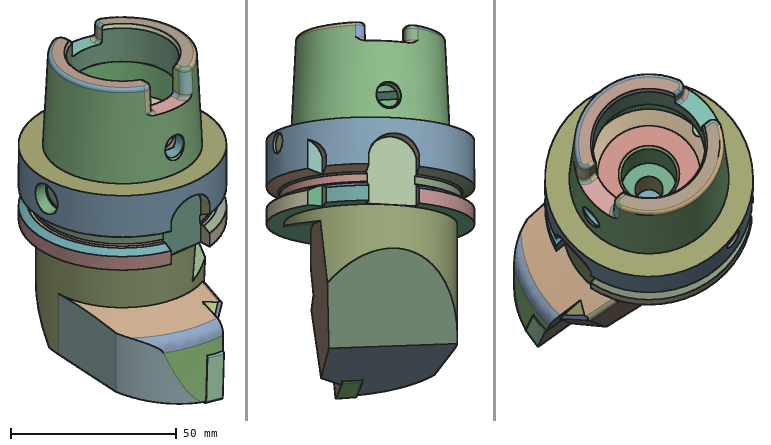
import cadquery as cq
import math


SHANK_HEIGHT = 32.0
TAPER_RADIUS = 24.2
TAPER_SLOPE = 0.05
RIM_ROUNDING = 1.2
BORE_DIAMETER = 34.1
MOUTH_CHAMFER_WIDTH = 0.6
MOUTH_CHAMFER_HEIGHT = 1.2
LIP_Z = 19.2
LIP_ANGLE = 60
CLAMP_DIAMETER = 40.1
CLAMP_FLOOR_Z = 6.2
FLOOR_RADIUS = 15.6
FLOOR_Z = 3.7

COOLANT_DIAMETER = 16.8
COOLANT_CHAMFER = 0.8
COOLANT_FLOOR_Z = -10.2
FEED_DIAMETER = 8.4
FEED_FLOOR_Z = -22.4

CROSS_DIAMETER = 7.5
CROSS_CHAMFER = 0.4
CROSS_Z = 9.1

NOTCH_WIDTH = 12.4
NOTCH_LEFT_Z = 25.9
NOTCH_RIGHT_Z = 21.9
NOTCH_CORNER_RADIUS = 2.4
NOTCH_FLOOR_RADIUS = 1.3

FLANGE_RADIUS = 63.0 / 2
FLANGE_THICKNESS = 25.9
GROOVE_RADIUS = 27.5
GROOVE_PROFILE = [
    (FLANGE_RADIUS, -14.5),
    (28.0, -16.1),
    (GROOVE_RADIUS, -16.6),
    (GROOVE_RADIUS, -19.1),
    (27.9, -19.6),
    (29.0, -19.7),
    (FLANGE_RADIUS, -21.2),
]
KEY_FLAT_X = 26.5
KEY_WIDTH = 15.7
KEY_TOP_Z = -4.8
KEY_ARCH_RADIUS = 8.1
INDEX_FLAT_X = 20.0
INDEX_WALL_Y = 19.8
CHIP_HOLE_DIAMETER = 10.0
CHIP_HOLE_Z = -6.9
CHIP_HOLE_DEPTH = 4.9
CHIP_HOLE_ANGLE = -90
CHIP_HOLE_CHAMFER = 0.3
SIDE_HOLE_DIAMETER = 6.3
SIDE_HOLE_Z = -4.0
SIDE_HOLE_DEPTH = 1
SIDE_HOLE_ANGLE = 103

NECK_RADIUS = 52.6 / 2
HEAD_TOP_Z = -41.9
SHOULDER_ANGLE = 15
SHOULDER_ROUNDING = 4.9
WALL_RADIUS = 41.7
WALL_SLOPE = 0.108
HEAD_LOW_Z = -73.4
FACE_END_X = 25.9
SIDE_ARC_MIDDLE = (38.4, -18.4)
SIDE_ARC_END = (44.7, -2)

HEEL_POINT = (-4.7, 0, -65.1)
BOTTOM_NORMAL = (-0.085, -0.092, -1)
HEEL_NORMAL = (-1.187, -0.092, -1)
BACK_POINT = (-17.3, 19.8, -29.9)
BACK_NORMAL = (0.153, 1, -0.103)
BACK_TOP_DIRECTION = (1, -0.133, 0.19)
BACK_EDGE_POINT = (29.6, 11.2, -43.1)
BACK_EDGE_ROUNDING = 1.6
RAKE_NORMAL = (0.09, 1, -0.112)

RAMP_START = (31.3, 4.6, -43.2)
RAMP_TOP = (33.6, 8.5, -44.2)
RAMP_FOOT = (37.0, 3.5, -47.9)
WALL_TOP = (33.4, 10.5, -44.9)
WALL_FOOT = (38.1, 3.3, -49.9)
WALL_LOW = (25.5, 9.2, -68.4)

INSERT_TIP = (45.1, 0, -70.2)
INSERT_EDGE = 15.7
INSERT_ANGLE = 78
INSERT_THICKNESS = 6.3
INSERT_CORNER_RADIUS = 0.8
INSERT_EDGE_DIRECTION = (-1, 0.102, 0.108)

REACH = 102


def revolved(profile):
    """Turn a closed (radius, Z) outline around the Z axis, starting in the YZ plane."""
    return cq.Workplane("YZ").polyline(profile).close().revolve(360, (0, 0), (0, 1))


def half_space(point, normal):
    """A large block on the outward side of a plane."""
    return cq.Workplane(cq.Plane(point, normal=normal)).rect(2 * REACH, 2 * REACH).extrude(REACH)


def half_space_through(a, b, c):
    """A large block on the +X side of the plane through three points."""
    normal = (cq.Vector(*b) - cq.Vector(*a)).cross(cq.Vector(*c) - cq.Vector(*a))
    if normal.x < 0:
        normal = normal * -1
    return half_space(a, normal.toTuple())


def make_shank():
    """Taper with the drive notches and rounded rim, bored down to the clamping lip."""
    top_radius = TAPER_RADIUS - TAPER_SLOPE * SHANK_HEIGHT
    shank = revolved([(0, 0), (TAPER_RADIUS, 0), (top_radius, SHANK_HEIGHT), (0, SHANK_HEIGHT)])
    bore_radius = BORE_DIAMETER / 2
    mouth = cq.Workplane("XY", origin=(0, 0, LIP_Z)).circle(bore_radius).extrude(SHANK_HEIGHT)
    shank = shank.cut(mouth)

    half_width = NOTCH_WIDTH / 2
    middle_radius = (bore_radius + top_radius) / 2
    for side, floor_z in ((-1, NOTCH_LEFT_Z), (1, NOTCH_RIGHT_Z)):
        notch = (
            cq.Workplane("XY", origin=(side * REACH / 2, 0, floor_z))
            .box(REACH, NOTCH_WIDTH, REACH, centered=(True, True, False))
        )
        shank = shank.cut(notch)
        corner_x = side * math.sqrt(top_radius**2 - half_width**2)
        middle_z = (floor_z + SHANK_HEIGHT) / 2
        for y in (-half_width, half_width):
            corner = cq.selectors.NearestToPointSelector((corner_x, y, middle_z))
            shank = shank.edges(corner).fillet(NOTCH_CORNER_RADIUS)
            floor_edge = cq.selectors.NearestToPointSelector((side * middle_radius, y, floor_z))
            shank = shank.edges(floor_edge).fillet(NOTCH_FLOOR_RADIUS)

    mouth_arcs = cq.selectors.RadiusNthSelector(0)
    outer_rim = cq.selectors.InverseSelector(mouth_arcs)
    return shank.faces(">Z").edges(outer_rim).fillet(RIM_ROUNDING)


def make_bore():
    """Clamping bore of the shank with the coolant bore below it."""
    bore_radius = BORE_DIAMETER / 2
    clamp_radius = CLAMP_DIAMETER / 2
    coolant_radius = COOLANT_DIAMETER / 2
    feed_radius = FEED_DIAMETER / 2
    flare_height = (clamp_radius - bore_radius) / math.tan(math.radians(LIP_ANGLE))
    return revolved([
        (0, FEED_FLOOR_Z),
        (feed_radius, FEED_FLOOR_Z),
        (feed_radius, COOLANT_FLOOR_Z),
        (coolant_radius, COOLANT_FLOOR_Z),
        (coolant_radius, FLOOR_Z - COOLANT_CHAMFER),
        (coolant_radius + COOLANT_CHAMFER, FLOOR_Z),
        (FLOOR_RADIUS, FLOOR_Z),
        (clamp_radius, CLAMP_FLOOR_Z),
        (clamp_radius, LIP_Z - flare_height),
        (bore_radius, LIP_Z),
        (bore_radius, SHANK_HEIGHT - MOUTH_CHAMFER_HEIGHT),
        (bore_radius + MOUTH_CHAMFER_WIDTH, SHANK_HEIGHT),
        (0, SHANK_HEIGHT),
    ])


def make_cross_hole():
    """Through hole across the shank, countersunk at both ends."""
    radius = CROSS_DIAMETER / 2
    surface_x = TAPER_RADIUS - TAPER_SLOPE * CROSS_Z
    start_x = surface_x - CROSS_CHAMFER
    flare = 2 * CROSS_CHAMFER
    return (
        cq.Workplane("XY", origin=(0, 0, CROSS_Z))
        .polyline([
            (-start_x - flare, 0),
            (-start_x - flare, radius + flare),
            (-start_x, radius),
            (start_x, radius),
            (start_x + flare, radius + flare),
            (start_x + flare, 0),
        ])
        .close()
        .revolve(360, (0, 0), (1, 0))
    )


def arched_slot(side, floor_x, centre_y):
    """Keyway cutter with an arched upper end, open outward and downward."""
    half_width = KEY_WIDTH / 2
    spring_z = KEY_TOP_Z - KEY_ARCH_RADIUS + math.sqrt(KEY_ARCH_RADIUS**2 - half_width**2)
    return (
        cq.Workplane("YZ", origin=(side * floor_x, centre_y, 0))
        .moveTo(-half_width, -FLANGE_THICKNESS)
        .lineTo(-half_width, spring_z)
        .threePointArc((0, KEY_TOP_Z), (half_width, spring_z))
        .lineTo(half_width, -FLANGE_THICKNESS)
        .close()
        .extrude(side * FLANGE_RADIUS)
    )


def radial_hole(diameter, depth, z, angle):
    """Blind hole drilled into the flange toward the axis."""
    outward = cq.Vector(math.cos(math.radians(angle)), math.sin(math.radians(angle)), 0)
    start = outward * (FLANGE_RADIUS - depth) + cq.Vector(0, 0, z)
    return cq.Workplane(cq.Solid.makeCylinder(diameter / 2, 2 * depth, start, outward))


def make_flange():
    """Grooved flange with two keyways, an indexing notch and two blind holes."""
    flange = revolved([
        (0, 0),
        (FLANGE_RADIUS, 0),
        *GROOVE_PROFILE,
        (FLANGE_RADIUS, -FLANGE_THICKNESS),
        (0, -FLANGE_THICKNESS),
    ])
    for side in (-1, 1):
        flange = flange.cut(arched_slot(side, KEY_FLAT_X, 0))
    flange = flange.cut(arched_slot(-1, INDEX_FLAT_X, INDEX_WALL_Y + KEY_WIDTH / 2))
    chip_hole = radial_hole(CHIP_HOLE_DIAMETER, CHIP_HOLE_DEPTH, CHIP_HOLE_Z, CHIP_HOLE_ANGLE)
    flange = flange.cut(chip_hole.faces(">Y").chamfer(CHIP_HOLE_CHAMFER))
    return flange.cut(radial_hole(SIDE_HOLE_DIAMETER, SIDE_HOLE_DEPTH, SIDE_HOLE_Z, SIDE_HOLE_ANGLE))


def make_shoulder():
    """Turned blank of the head: conical shoulder, rounded rim and flaring wall."""
    fall = math.tan(math.radians(SHOULDER_ANGLE))
    rim_drop = (WALL_RADIUS - NECK_RADIUS) * fall / (1 - WALL_SLOPE * fall)
    rim_radius = WALL_RADIUS + WALL_SLOPE * rim_drop
    low_radius = WALL_RADIUS + WALL_SLOPE * (HEAD_TOP_Z - HEAD_LOW_Z)
    blank = revolved([
        (0, HEAD_TOP_Z),
        (NECK_RADIUS, HEAD_TOP_Z),
        (rim_radius, HEAD_TOP_Z - rim_drop),
        (low_radius, HEAD_LOW_Z),
        (0, HEAD_LOW_Z),
    ])
    rim = cq.selectors.RadiusNthSelector(1)
    return blank.edges(rim).fillet(SHOULDER_ROUNDING)


def gullet_cutters():
    """Chip space in front of the rake plane, past the three faces of the gullet wall."""
    ramp = half_space_through(RAMP_START, RAMP_TOP, RAMP_FOOT)
    relief = half_space_through(RAMP_TOP, RAMP_FOOT, WALL_TOP)
    wall = half_space_through(WALL_TOP, WALL_FOOT, WALL_LOW)
    rake_side = half_space(INSERT_TIP, RAKE_NORMAL)
    return [rake_side.intersect(face) for face in (ramp, relief, wall)]


def make_head():
    """Neck and sideways cutting head, trimmed by the back, bottom and heel planes."""
    footprint = (
        cq.Workplane("XY", origin=(0, 0, HEAD_LOW_Z))
        .moveTo(0, -NECK_RADIUS)
        .lineTo(FACE_END_X, -NECK_RADIUS)
        .threePointArc(SIDE_ARC_MIDDLE, SIDE_ARC_END)
        .lineTo(SIDE_ARC_END[0], NECK_RADIUS)
        .lineTo(0, NECK_RADIUS)
        .close()
        .extrude(-HEAD_LOW_Z)
    )
    neck = (
        cq.Workplane("XY", origin=(0, 0, HEAD_LOW_Z))
        .circle(NECK_RADIUS)
        .extrude(-FLANGE_THICKNESS - HEAD_LOW_Z)
    )
    head = neck.union(make_shoulder().intersect(footprint))
    back_plane = cq.Plane(BACK_POINT, xDir=BACK_TOP_DIRECTION, normal=BACK_NORMAL)
    back_cut = cq.Workplane(back_plane).box(2 * REACH, REACH, REACH, centered=(True, False, False))
    head = head.cut(back_cut)
    head = head.cut(half_space(HEEL_POINT, BOTTOM_NORMAL))
    head = head.cut(half_space(HEEL_POINT, HEEL_NORMAL))
    for cutter in gullet_cutters():
        head = head.cut(cutter)
    back_edge = cq.selectors.NearestToPointSelector(BACK_EDGE_POINT)
    return head.edges(back_edge).fillet(BACK_EDGE_ROUNDING)


def make_insert():
    """Rhombic insert whose top face lies in the rake plane."""
    lean = math.radians(INSERT_ANGLE)
    run = INSERT_EDGE * math.cos(lean)
    rise = INSERT_EDGE * math.sin(lean)
    rake_plane = cq.Plane(INSERT_TIP, xDir=INSERT_EDGE_DIRECTION, normal=RAKE_NORMAL)
    return (
        cq.Workplane(rake_plane)
        .polyline([(0, 0), (INSERT_EDGE, 0), (INSERT_EDGE + run, rise), (run, rise)])
        .close()
        .extrude(-INSERT_THICKNESS)
        .edges(cq.selectors.ParallelDirSelector(rake_plane.zDir))
        .fillet(INSERT_CORNER_RADIUS)
    )


insert = make_insert()
holder = make_shank().union(make_flange()).union(make_head())
holder = holder.cut(make_bore()).cut(make_cross_hole()).cut(insert)

result = cq.Compound.makeCompound([holder.val(), insert.val()])